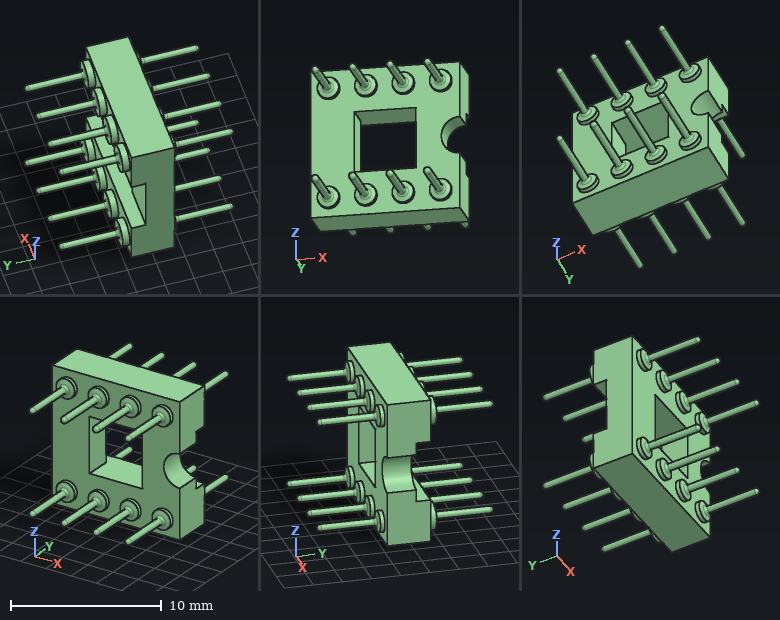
import cadquery as cq
import math

HOUSING_WIDTH = 10.16
HOUSING_HEIGHT = 10.2
HOUSING_DEPTH = 3.0
FRONT_FACE_Y = -HOUSING_DEPTH / 2
BACK_FACE_Y = HOUSING_DEPTH / 2
WINDOW_SIZE = 4.19
CHANNEL_DEPTH = 1.0
NOTCH_RADIUS = 1.26

PINS_PER_ROW = 4
PIN_PITCH = HOUSING_WIDTH / PINS_PER_ROW
ROW_SPACING = 3 * PIN_PITCH

OVERALL_LENGTH = 12.15
FRONT_REACH = 4.5
BACK_REACH = OVERALL_LENGTH - HOUSING_DEPTH - FRONT_REACH
LEAD_DIAMETER = 0.5
LEAD_RADIUS = LEAD_DIAMETER / 2
BARREL_RADIUS = 0.73
BARREL_PROTRUSION = 0.3
CONE_LENGTH = 0.17
FLANGE_RADIUS = 0.95
FLANGE_THICKNESS = 0.5
FILLET_RADIUS = 0.21


def make_housing(pin_positions):
    block = cq.Workplane("XY").box(HOUSING_WIDTH, HOUSING_DEPTH, HOUSING_HEIGHT)
    window = cq.Workplane("XY").box(WINDOW_SIZE, HOUSING_DEPTH, WINDOW_SIZE)
    channel = (
        cq.Workplane("XY")
        .box(HOUSING_WIDTH, CHANNEL_DEPTH, WINDOW_SIZE)
        .translate((0, BACK_FACE_Y - CHANNEL_DEPTH / 2, 0))
    )
    front_plane = cq.Workplane("XZ", origin=(0, FRONT_FACE_Y, 0))
    notch = front_plane.center(HOUSING_WIDTH / 2, 0).circle(NOTCH_RADIUS).extrude(-HOUSING_DEPTH)
    pin_holes = front_plane.pushPoints(pin_positions).circle(BARREL_RADIUS).extrude(-HOUSING_DEPTH)
    return block.cut(window).cut(channel).cut(notch).cut(pin_holes)


def make_pin():
    """Revolve half of the pin's section (radius along X) about the Y axis."""
    front_tip_y = FRONT_FACE_Y - FRONT_REACH
    back_tip_y = BACK_FACE_Y + BACK_REACH
    cone_base_y = FRONT_FACE_Y - BARREL_PROTRUSION
    cone_end_y = cone_base_y - CONE_LENGTH
    flange_y = BACK_FACE_Y + FLANGE_THICKNESS
    tip_mid = LEAD_RADIUS * math.sqrt(0.5)

    cone_angle = math.atan2(CONE_LENGTH, BARREL_RADIUS - LEAD_RADIUS)
    tangent_length = FILLET_RADIUS * math.tan((math.pi / 2 - cone_angle) / 2)
    cone_touch = (
        LEAD_RADIUS + tangent_length * math.cos(cone_angle),
        cone_end_y + tangent_length * math.sin(cone_angle),
    )

    profile = (
        cq.Workplane("XY")
        .moveTo(0, front_tip_y)
        .threePointArc(
            (tip_mid, front_tip_y + LEAD_RADIUS - tip_mid),
            (LEAD_RADIUS, front_tip_y + LEAD_RADIUS),
        )
        .lineTo(LEAD_RADIUS, cone_end_y - tangent_length)
        .tangentArcPoint(cone_touch, relative=False)
        .lineTo(BARREL_RADIUS, cone_base_y)
        .lineTo(BARREL_RADIUS, BACK_FACE_Y)
        .lineTo(FLANGE_RADIUS, BACK_FACE_Y)
        .lineTo(FLANGE_RADIUS, flange_y)
        .lineTo(LEAD_RADIUS + FILLET_RADIUS, flange_y)
        .tangentArcPoint((LEAD_RADIUS, flange_y + FILLET_RADIUS), relative=False)
        .lineTo(LEAD_RADIUS, back_tip_y - LEAD_RADIUS)
        .threePointArc(
            (tip_mid, back_tip_y - LEAD_RADIUS + tip_mid),
            (0, back_tip_y),
        )
        .close()
    )
    return profile.revolve(360, (0, 0), (0, 1))


pin_positions = [
    ((column - (PINS_PER_ROW - 1) / 2) * PIN_PITCH, side * ROW_SPACING / 2)
    for side in (-1, 1)
    for column in range(PINS_PER_ROW)
]

housing = make_housing(pin_positions)
pins = [make_pin().translate((x, 0, z)) for x, z in pin_positions]

result = cq.Compound.makeCompound([housing.val(), *[pin.val() for pin in pins]])